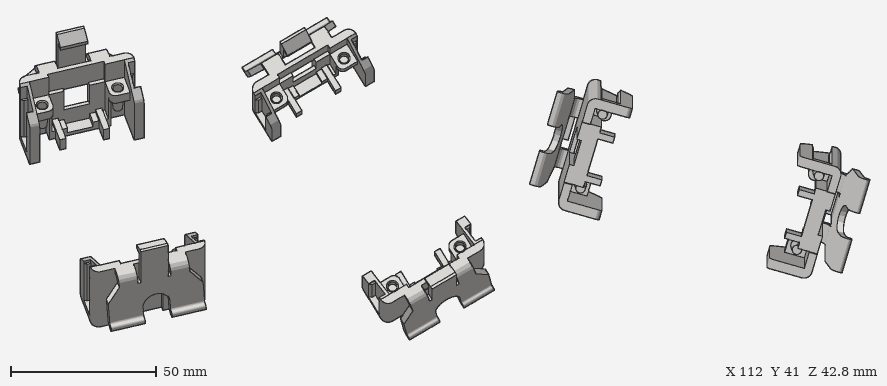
import cadquery as cq
import math

OVERALL_LENGTH = 112.0

WALL_OUTER_X = 10.6
WALL_INNER_X = 13.5
WALL_LAYER_X = 12.2
WALL_CORNER_RADIUS = 2.9
BODY_WIDTH = 41.0
BODY_HEIGHT = 30.0
RECESS_WIDTH = 20.2
SHELF_Z = 20.5
WINDOW_WIDTH = 9.2
WINDOW_SILL_Z = 10.4
WINDOW_TOP_Z = 19.7
BASE_GAP_HEIGHT = 1.0

PLATE_THICKNESS = 3.5
PLATE_END_X = 26.0
PLATE_END_CORNER_Z = 20.5
PLATE_TOP_RADIUS = 3.4
PLATE_BOTTOM_RADIUS = 1.3
PLATE_INNER_Y = BODY_WIDTH / 2 - PLATE_THICKNESS

POCKET_START_X = 14.5
POCKET_END_X = 21.6
POCKET_FLOOR_Z = 2.7
POCKET_DEPTH = 2.4
POCKET_STEP_Z = 22.6
POCKET_STEP = 0.7
POCKET_LIP_DEPTH = 1.0

BLOCK_END_X = 20.6
BLOCK_HEIGHT = 4.1
BLOCK_CORNER_RADIUS = 2.2
WEB_THICKNESS = 1.0
PIN_X = 17.2
PIN_Y = 13.5
PIN_TOP_DIAMETER = 4.3
PIN_END_DIAMETER = 3.2
PIN_LENGTH = 6.7
HOLE_DIAMETER = 3.2
HOLE_CHAMFER = 0.5

LEDGE_END_X = 17.6
LEDGE_TOP_Z = 5.1
LEDGE_NOTCH_Z = 2.7
RIB_END_X = 23.0
RIB_TOP_Z = 6.6
RIB_INNER_Y = 6.7
RIB_THICKNESS = 2.2

ARM_OUTER_X = 5.1
ARM_THICKNESS = 2.4
ARM_ANGLE = 12.5
ARM_WIDTH = 34.0
BEND_Z = 26.0
STRAP_THICKNESS = 2.0
STRAP_OUTER_Y = 12.7
STRAP_INNER_Y = 5.9
SHOULDER_Z = 20.0
FOOT_TOP_Z = 11.4
FOOT_BOTTOM_Z = 9.1
FOOT_TIP_RADIUS = 1.0
FOOT_INNER_RADIUS = 1.0
FOOT_HEEL_RADIUS = 2.5
ARCH_WIDTH = 9.6
ARCH_SPRING_Z = 15.9
ARCH_TOP_Z = 19.7

TAB_WIDTH = 9.9
TAB_TOP_Z = 42.8
TAB_CREST = 1.0
HOOK_END_X = 10.3
HOOK_TIP_Z = 40.5
HOOK_BOTTOM_Z = 39.1


def box(x_range, y_range, z_range):
    """Solid block between the given limits on each axis."""
    (x0, x1), (y0, y1), (z0, z1) = x_range, y_range, z_range
    return cq.Workplane("XY").box(x1 - x0, y1 - y0, z1 - z0, centered=False).translate((x0, y0, z0))


def centred(width):
    """Limits of a span of the given width about zero."""
    return (-width / 2, width / 2)


def both_sides(shape):
    """The shape together with its mirror image across the middle plane Y = 0."""
    return shape.union(shape.mirror("XZ"))


def extrude_along_y(outline, width):
    """Extrude an outline drawn on XZ symmetrically about Y = 0."""
    return outline.extrude(width / 2, both=True)


def fillet_corner(shape, x, z, radius):
    """Round the edge parallel to Y that passes through (x, z)."""
    reach = 0.06
    selector = cq.selectors.BoxSelector(
        (x - reach, -BODY_WIDTH, z - reach), (x + reach, BODY_WIDTH, z + reach)
    )
    return shape.edges("|Y").edges(selector).fillet(radius)


def make_shell():
    """Back wall with a side plate at each end, rounded at the outer corners."""
    profile = (
        cq.Workplane("XZ")
        .moveTo(WALL_OUTER_X, 0)
        .lineTo(PLATE_END_X, 0)
        .lineTo(PLATE_END_X, PLATE_END_CORNER_Z)
        .lineTo(WALL_INNER_X, BODY_HEIGHT)
        .lineTo(WALL_OUTER_X, BODY_HEIGHT)
        .close()
    )
    shell = extrude_along_y(profile, BODY_WIDTH)
    shell = fillet_corner(shell, PLATE_END_X, PLATE_END_CORNER_Z, PLATE_TOP_RADIUS)
    shell = fillet_corner(shell, PLATE_END_X, 0, PLATE_BOTTOM_RADIUS)
    shell = shell.edges("|Z and <X").fillet(WALL_CORNER_RADIUS)
    interior = box((WALL_INNER_X, PLATE_END_X), (-PLATE_INNER_Y, PLATE_INNER_Y), (0, BODY_HEIGHT))
    return shell.cut(interior)


def make_pocket():
    """Tool for the pocket in the +Y side plate: full width above, narrower with chamfered lips below."""
    outer_y = BODY_WIDTH / 2
    floor_y = outer_y - POCKET_DEPTH
    upper = box((POCKET_START_X, POCKET_END_X), (floor_y, outer_y), (POCKET_STEP_Z, BODY_HEIGHT))
    lower = (
        cq.Workplane("XY")
        .workplane(offset=POCKET_FLOOR_Z)
        .moveTo(POCKET_START_X, outer_y)
        .lineTo(POCKET_END_X, outer_y)
        .lineTo(POCKET_END_X - POCKET_STEP, outer_y - POCKET_LIP_DEPTH)
        .lineTo(POCKET_END_X - POCKET_STEP, floor_y)
        .lineTo(POCKET_START_X + POCKET_STEP, floor_y)
        .lineTo(POCKET_START_X + POCKET_STEP, outer_y - POCKET_LIP_DEPTH)
        .close()
        .extrude(POCKET_STEP_Z - POCKET_FLOOR_Z)
    )
    return upper.union(lower)


def cut_wall(body):
    """Inner recess, window, and the outer channel that runs from the window down to the base."""
    inner_layer = (WALL_LAYER_X, WALL_INNER_X)
    recess = box(inner_layer, centred(RECESS_WIDTH), (SHELF_Z, BODY_HEIGHT))
    window = box(inner_layer, centred(WINDOW_WIDTH), (WINDOW_SILL_Z, SHELF_Z))
    channel = box((WALL_OUTER_X, WALL_LAYER_X), centred(WINDOW_WIDTH), (0, WINDOW_TOP_Z))
    return body.cut(recess).cut(window).cut(channel)


def make_block():
    """Screw block on the +Y side with the web below it and its tapered pin."""
    inner_y = RECESS_WIDTH / 2
    bottom_z = SHELF_Z - BLOCK_HEIGHT
    block = box((WALL_INNER_X, BLOCK_END_X), (inner_y, PLATE_INNER_Y), (bottom_z, SHELF_Z))
    block = block.edges("|Z and >X and <Y").fillet(BLOCK_CORNER_RADIUS)
    web = box((WALL_INNER_X, LEDGE_END_X), (inner_y, inner_y + WEB_THICKNESS), (0, bottom_z))
    pin = (
        cq.Workplane("XY", origin=(PIN_X, PIN_Y, bottom_z))
        .circle(PIN_TOP_DIAMETER / 2)
        .workplane(offset=-PIN_LENGTH)
        .circle(PIN_END_DIAMETER / 2)
        .loft()
    )
    return block.union(web).union(pin)


def make_block_hole():
    """Tool for the blind hole in the +Y screw block, chamfered at its mouth."""
    radius = HOLE_DIAMETER / 2
    return (
        cq.Workplane("XZ", origin=(PIN_X, PIN_Y, SHELF_Z))
        .lineTo(radius + HOLE_CHAMFER, 0)
        .lineTo(radius, -HOLE_CHAMFER)
        .lineTo(radius, -BLOCK_HEIGHT)
        .lineTo(0, -BLOCK_HEIGHT)
        .close()
        .revolve(360, (0, 0, 0), (0, 1, 0))
    )


def make_base():
    """Notched ledge at the foot of the wall with a rib on each side."""
    ledge = box((WALL_INNER_X, LEDGE_END_X), centred(RECESS_WIDTH), (0, LEDGE_TOP_Z))
    notch = box((WALL_INNER_X, LEDGE_END_X), centred(WINDOW_WIDTH), (LEDGE_NOTCH_Z, LEDGE_TOP_Z))
    rib = box((WALL_INNER_X, RIB_END_X), (RIB_INNER_Y, RIB_INNER_Y + RIB_THICKNESS), (0, RIB_TOP_Z))
    return ledge.cut(notch).union(both_sides(rib))


def make_straps():
    """Two straps that bend over from the top of the wall to the arm."""
    inner_x = ARM_OUTER_X + ARM_THICKNESS
    outer_radius = BODY_HEIGHT - BEND_Z
    inner_radius = outer_radius - STRAP_THICKNESS
    profile = (
        cq.Workplane("XZ")
        .moveTo(ARM_OUTER_X, BEND_Z)
        .radiusArc((ARM_OUTER_X + outer_radius, BODY_HEIGHT), outer_radius)
        .lineTo(WALL_OUTER_X, BODY_HEIGHT)
        .lineTo(WALL_OUTER_X, BODY_HEIGHT - STRAP_THICKNESS)
        .lineTo(inner_x + inner_radius, BODY_HEIGHT - STRAP_THICKNESS)
        .radiusArc((inner_x, BEND_Z), -inner_radius)
        .close()
    )
    straps = extrude_along_y(profile, 2 * STRAP_OUTER_Y)
    gap = box((0, WALL_OUTER_X), centred(2 * STRAP_INNER_Y), (BEND_Z, BODY_HEIGHT))
    return straps.cut(gap)


def make_arm():
    """Leaning arm with an outturned foot, sloped shoulders and an arched opening."""
    inner_x = ARM_OUTER_X + ARM_THICKNESS
    lean = math.tan(math.radians(ARM_ANGLE))
    instep_x = ARM_OUTER_X - (BEND_Z - FOOT_TOP_Z) * lean
    heel_x = inner_x - (BEND_Z - FOOT_BOTTOM_Z) * lean
    profile = (
        cq.Workplane("XZ")
        .moveTo(ARM_OUTER_X, BEND_Z)
        .lineTo(instep_x, FOOT_TOP_Z)
        .lineTo(0, FOOT_TOP_Z)
        .lineTo(0, FOOT_BOTTOM_Z)
        .lineTo(heel_x, FOOT_BOTTOM_Z)
        .lineTo(inner_x, BEND_Z)
        .close()
    )
    arm = extrude_along_y(profile, ARM_WIDTH)
    arm = fillet_corner(arm, instep_x, FOOT_TOP_Z, FOOT_INNER_RADIUS)
    arm = fillet_corner(arm, heel_x, FOOT_BOTTOM_Z, FOOT_HEEL_RADIUS)
    arm = fillet_corner(arm, 0, FOOT_TOP_Z, FOOT_TIP_RADIUS)
    arm = fillet_corner(arm, 0, FOOT_BOTTOM_Z, FOOT_TIP_RADIUS)
    face_outline = (
        cq.Workplane("YZ")
        .moveTo(-ARM_WIDTH / 2, 0)
        .lineTo(-ARCH_WIDTH / 2, 0)
        .lineTo(-ARCH_WIDTH / 2, ARCH_SPRING_Z)
        .threePointArc((0, ARCH_TOP_Z), (ARCH_WIDTH / 2, ARCH_SPRING_Z))
        .lineTo(ARCH_WIDTH / 2, 0)
        .lineTo(ARM_WIDTH / 2, 0)
        .lineTo(ARM_WIDTH / 2, SHOULDER_Z)
        .lineTo(STRAP_OUTER_Y, BEND_Z)
        .lineTo(-STRAP_OUTER_Y, BEND_Z)
        .lineTo(-ARM_WIDTH / 2, SHOULDER_Z)
        .close()
        .extrude(WALL_OUTER_X)
    )
    return arm.intersect(face_outline)


def make_tab():
    """Upright latch tab with a sloped hook that points inward."""
    inner_x = ARM_OUTER_X + ARM_THICKNESS
    profile = (
        cq.Workplane("XZ")
        .moveTo(ARM_OUTER_X, BEND_Z)
        .lineTo(ARM_OUTER_X, TAB_TOP_Z)
        .lineTo(ARM_OUTER_X + TAB_CREST, TAB_TOP_Z)
        .lineTo(HOOK_END_X, HOOK_TIP_Z)
        .lineTo(HOOK_END_X, HOOK_BOTTOM_Z)
        .lineTo(inner_x, HOOK_BOTTOM_Z)
        .lineTo(inner_x, BEND_Z)
        .close()
    )
    return extrude_along_y(profile, TAB_WIDTH)


def make_bracket():
    """Complete bracket with its arm tip at X = 0."""
    body = make_shell().cut(both_sides(make_pocket()))
    body = body.union(both_sides(make_block())).union(make_base())
    body = cut_wall(body).cut(both_sides(make_block_hole()))
    gap_width = RECESS_WIDTH + 2 * WEB_THICKNESS
    base_gap = box((WALL_OUTER_X, PLATE_END_X), centred(gap_width), (0, BASE_GAP_HEIGHT))
    body = body.cut(base_gap)
    return body.union(make_straps()).union(make_arm()).union(make_tab())


left_bracket = make_bracket().translate((-OVERALL_LENGTH / 2, 0, 0))
right_bracket = left_bracket.mirror("YZ")

result = cq.Compound.makeCompound([left_bracket.val(), right_bracket.val()])